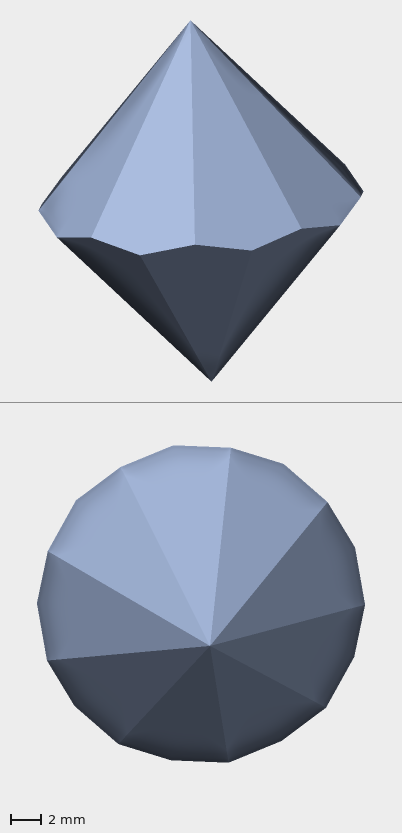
import cadquery as cq
import math

sides_per_half = 9
tip_x = -0.15
tip_y = -0.7
tip_z = 12.52
girdle_radius = 10.85
first_corner_angle = 11.6

half_length = math.sqrt(tip_x**2 + tip_y**2 + tip_z**2)
half_step = 180 / sides_per_half

cos_half_step = math.cos(math.radians(half_step))
zigzag_height = half_length * (1 - cos_half_step) / (1 + cos_half_step)


def girdle_corner(index):
    """Corner of the girdle; even corners lie above the middle, odd ones below."""
    angle = math.radians(first_corner_angle + index * half_step)
    height = zigzag_height if index % 2 == 0 else -zigzag_height
    return cq.Vector(girdle_radius * math.cos(angle), girdle_radius * math.sin(angle), height)


def kite_face(tip, middle_index):
    """Flat kite from a tip to three neighbouring girdle corners."""
    corners = [girdle_corner(middle_index + step) for step in (-1, 0, 1)]
    outline = cq.Wire.makePolygon([tip] + corners, close=True)
    return cq.Face.makeFromWires(outline)


def upright_die():
    """Die with its axis along Z."""
    upper_tip = cq.Vector(0, 0, half_length)
    lower_tip = cq.Vector(0, 0, -half_length)
    faces = []
    for index in range(2 * sides_per_half):
        tip = lower_tip if index % 2 == 0 else upper_tip
        faces.append(kite_face(tip, index))
    return cq.Workplane(cq.Solid.makeSolid(cq.Shell.makeShell(faces)))


lean_about_x = math.degrees(math.asin(-tip_y / half_length))
lean_about_y = math.degrees(math.atan2(tip_x, tip_z))

result = (
    upright_die()
    .rotate((0, 0, 0), (1, 0, 0), lean_about_x)
    .rotate((0, 0, 0), (0, 1, 0), lean_about_y)
)